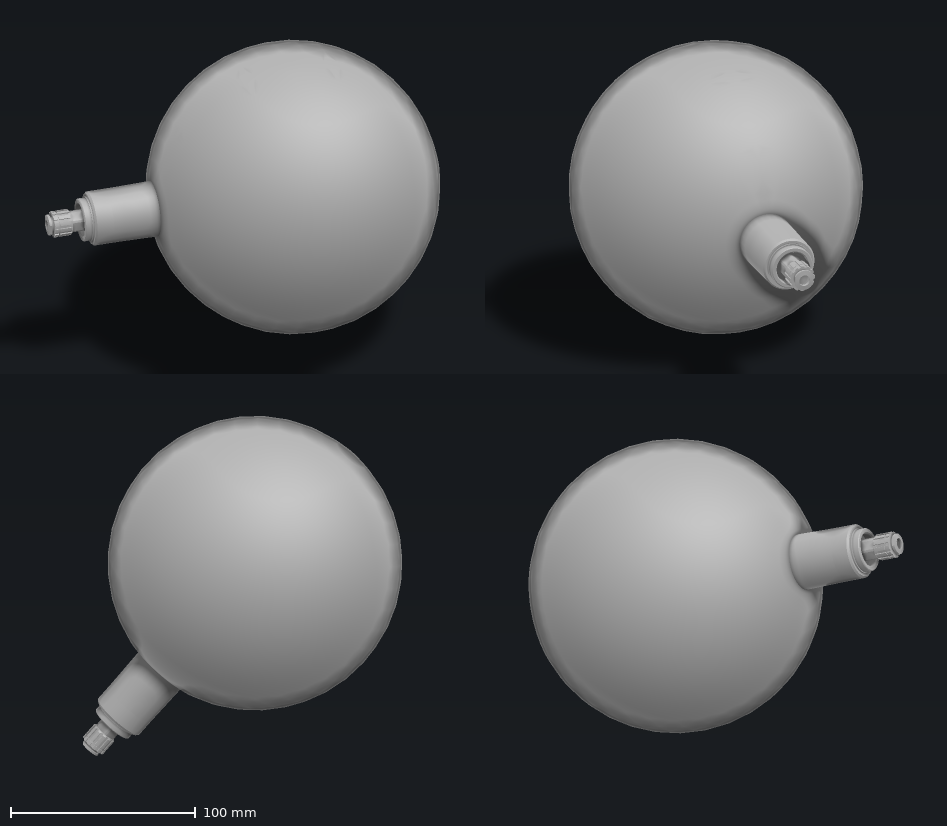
import cadquery as cq
import math

overall_length = 218.0

ball_radius = 79.8
cap_radius = 19.2
cap_flat_radius = 9.8

neck_root_radius = 15.3
stem_radius = 14.8
neck_end = 104.2
stem_end = 113.5
rim_radius = 14.0
rim_position = stem_end + 1.0
step_radius = 12.5
collar_radius = 11.8
collar_start = 115.5
collar_end = 119.5
collar_chamfer = 0.5
recess_radius = 9.0
recess_chamfer = 0.7
recess_floor = collar_end - 4.4

hex_across_flats = 11.3
hex_corner_diameter = 12.5
hex_end = 125.1

spline_radius = 7.2
spline_root_radius = 6.5
spline_count = 12
spline_tooth_width = 2.0
spline_chamfer = 0.9
spline_end = 135.2
groove_start = 132.3
groove_end = groove_start + 0.7

tip_neck_radius = 4.4
tip_radius = 5.7
tip_across_flats = 10.0
tip_start = 136.5
tip_end = overall_length - ball_radius
tip_crown = 0.5
tip_bore_radius = 3.0
tip_bore_depth = 2.2


def turned(points):
    """Solid of revolution about Y from (radius, distance towards the tip) points."""
    profile = cq.Workplane("YZ").polyline([(-distance, radius) for radius, distance in points]).close()
    return profile.revolve(360, (0, 0, 0), (1, 0, 0))


def stem_plane(position):
    """Plane across the stem axis, facing the tip."""
    return cq.Workplane("XZ").workplane(offset=position)


def disc(radius, start, end):
    return stem_plane(start).circle(radius).extrude(end - start)


def make_ball():
    cap_edge = math.sqrt(ball_radius**2 - cap_radius**2)
    profile = (
        cq.Workplane("YZ")
        .moveTo(-ball_radius, 0)
        .threePointArc((0, ball_radius), (cap_edge, cap_radius))
        .lineTo(ball_radius, cap_flat_radius)
        .lineTo(ball_radius, 0)
        .close()
    )
    return profile.revolve(360, (0, 0, 0), (1, 0, 0))


def make_stem():
    ball_surface = math.sqrt(ball_radius**2 - neck_root_radius**2)
    return turned([
        (0, 0),
        (neck_root_radius, 0),
        (neck_root_radius, ball_surface),
        (stem_radius, neck_end),
        (stem_radius, stem_end),
        (rim_radius, rim_position),
        (step_radius, rim_position),
        (step_radius, collar_start),
        (collar_radius, collar_start),
        (collar_radius, collar_end - collar_chamfer),
        (collar_radius - collar_chamfer, collar_end),
        (recess_radius + recess_chamfer, collar_end),
        (recess_radius, collar_end - recess_chamfer),
        (recess_radius, recess_floor),
        (0, recess_floor),
    ])


def make_shank():
    across_corners = hex_across_flats / math.cos(math.pi / 6)
    prism = (
        stem_plane(recess_floor)
        .transformed(rotate=(0, 0, 90))
        .polygon(6, across_corners)
        .extrude(hex_end - recess_floor)
    )
    return prism.intersect(disc(hex_corner_diameter / 2, recess_floor, hex_end))


def make_spline():
    splined = disc(spline_root_radius, hex_end, spline_end)
    bar = stem_plane(hex_end).rect(3 * spline_radius, spline_tooth_width).extrude(spline_end - hex_end)
    for i in range(spline_count // 2):
        splined = splined.union(bar.rotate((0, 0, 0), (0, 1, 0), i * 360 / spline_count))
    envelope = turned([
        (0, hex_end),
        (spline_radius - spline_chamfer, hex_end),
        (spline_radius, hex_end + spline_chamfer),
        (spline_radius, groove_start),
        (spline_root_radius, groove_start),
        (spline_root_radius, groove_end),
        (spline_radius, groove_end),
        (spline_radius, spline_end),
        (0, spline_end),
    ])
    return splined.intersect(envelope)


def make_tip():
    flange = turned([
        (0, tip_start),
        (tip_radius, tip_start),
        (tip_radius, tip_end - tip_crown),
        (tip_bore_radius, tip_end),
        (0, tip_end),
    ])
    flats = stem_plane(tip_start).rect(tip_across_flats, 3 * tip_radius).extrude(tip_end - tip_start)
    bore = disc(tip_bore_radius, tip_end - tip_bore_depth, tip_end)
    return flange.intersect(flats).cut(bore).union(disc(tip_neck_radius, spline_end, tip_start))


result = make_ball()
for section in (make_stem(), make_shank(), make_spline(), make_tip()):
    result = result.union(section)